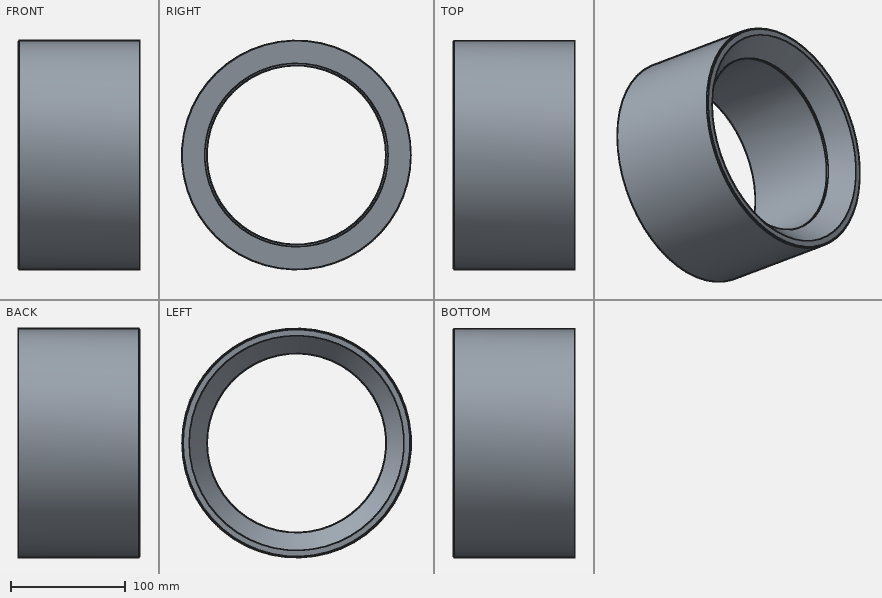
import cadquery as cq

length = 106.0
outer_radius = 200.0 / 2
mouth_radius = 186.5 / 2
land_radius = 156.0 / 2
bore_radius = 160.0 / 2
outer_chamfer = 1.0
mouth_chamfer = 0.5
cone_end = 18.5
land_length = 2.0

mouth_face = -length / 2
back_face = length / 2
land_start = mouth_face + cone_end
land_end = land_start + land_length

wall_profile = (
    cq.Workplane("XY")
    .moveTo(mouth_face, mouth_radius + mouth_chamfer)
    .lineTo(mouth_face + mouth_chamfer, mouth_radius)
    .lineTo(land_start, land_radius)
    .lineTo(land_end, land_radius)
    .lineTo(land_end, bore_radius)
    .lineTo(back_face, bore_radius)
    .lineTo(back_face, outer_radius)
    .lineTo(mouth_face + outer_chamfer, outer_radius)
    .lineTo(mouth_face, outer_radius - outer_chamfer)
    .close()
)

result = wall_profile.revolve(360, (0, 0, 0), (1, 0, 0))